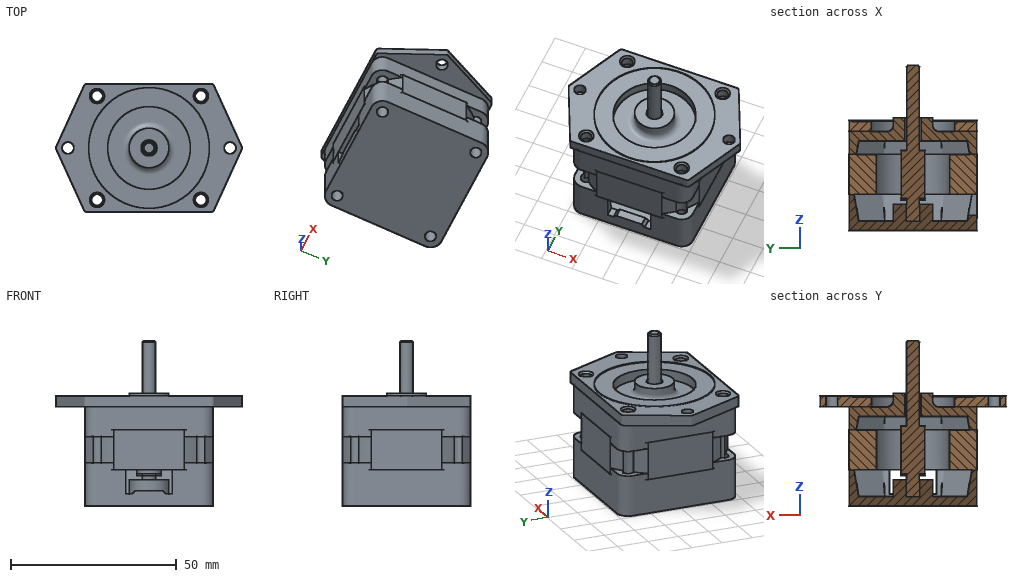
import cadquery as cq
import math

body_width = 38.8
half_width = body_width / 2
corner_radius = 3.65
hole_spacing = 31.35
screw_hole_diameter = 3.4

rear_housing_top = 13.05
front_housing_bottom = 21.05
stator_bottom = 11.0
stator_top = 23.0
front_housing_top = 30.0
plate_top = 33.3
front_boss_top = 34.15
shaft_top = 50.0

plate_length = 56.3
plate_corner_radius = 1.0
plate_recess_diameter = 36.5
plate_recess_depth = 0.3
plate_bore_diameter = 25.0
plate_side_hole_diameter = 3.5
plate_side_hole_spacing = 49.0
countersink_diameter = 4.5
countersink_angle = 90

wall_thickness = 3.0
cavity_width = 32.75
cavity_draft = 10
cavity_chamfer = 7.9
boss_diameter = 12.0
rear_boss_top = 8.05
cove_radius = 2.0
shaft_clearance_diameter = 4.85

window_width = 14.2
window_bottom = 3.7
ledge_top = 4.7
ledge_width = 8.35
ledge_base_width = ledge_width + 2 * (ledge_top - window_bottom)

stator_diameter = 44.3
stator_bore_diameter = 22.0
shaft_diameter = 4.0
shaft_tip_chamfer = 0.45
hub_diameter = 7.3
spacer_bottom = 9.25
spacer_thickness = 0.5
hub_bottom = spacer_bottom + spacer_thickness
hub_top = stator_bottom + stator_top - hub_bottom


def cylinder(diameter, bottom, top):
    return cq.Workplane("XY").workplane(offset=bottom).circle(diameter / 2).extrude(top - bottom)


def housing_block(bottom, top):
    """Square block with rounded vertical corners."""
    block = cq.Workplane("XY").workplane(offset=bottom).rect(body_width, body_width).extrude(top - bottom)
    return block.edges("|Z").fillet(corner_radius)


def screw_holes(bottom, top):
    """Cutting cylinders for the four corner screw holes."""
    centres = cq.Workplane("XY").workplane(offset=bottom).rect(hole_spacing, hole_spacing, forConstruction=True)
    return centres.vertices().circle(screw_hole_diameter / 2).extrude(top - bottom)


def housing_cavity(floor, mouth):
    """Square cavity with cut corners, widening from its floor to its mouth."""
    outline = cq.Sketch().rect(cavity_width, cavity_width).vertices().chamfer(cavity_chamfer)
    depth = abs(mouth - floor)
    cavity = cq.Workplane("XY").placeSketch(outline).extrude(depth, taper=-cavity_draft)
    if mouth < floor:
        cavity = cavity.mirror("XY")
    return cavity.translate((0, 0, floor))


def plate_tip_reach():
    """Distance from the axis to a sharp plate tip whose rounded end reaches half the plate length."""
    arc_centre = plate_length / 2 - plate_corner_radius
    run = arc_centre - half_width
    edge_angle = math.atan2(run, half_width) + math.asin(plate_corner_radius / math.hypot(run, half_width))
    return arc_centre + plate_corner_radius / math.cos(edge_angle)


def make_plate():
    """Six-sided mounting plate with a stepped centre bore and six holes."""
    tip = plate_tip_reach()
    outline = [
        (half_width, half_width),
        (-half_width, half_width),
        (-tip, 0),
        (-half_width, -half_width),
        (half_width, -half_width),
        (tip, 0),
    ]
    thickness = plate_top - front_housing_top
    plate = cq.Workplane("XY").workplane(offset=front_housing_top).polyline(outline).close().extrude(thickness)
    plate = plate.edges("|Z").fillet(plate_corner_radius)
    plate = plate.cut(cylinder(plate_bore_diameter, front_housing_top, plate_top))
    plate = plate.cut(cylinder(plate_recess_diameter, plate_top - plate_recess_depth, plate_top))
    top_plane = cq.Workplane("XY").workplane(offset=plate_top)
    plate = plate.copyWorkplane(top_plane).rect(hole_spacing, hole_spacing, forConstruction=True).vertices()
    plate = plate.cskHole(screw_hole_diameter, countersink_diameter, countersink_angle)
    plate = plate.copyWorkplane(top_plane).rarray(plate_side_hole_spacing, 0.55, 2, 1)
    return plate.hole(plate_side_hole_diameter)


def make_front_boss():
    """Shaft boss that rises from the front face through a concave cove."""
    boss_radius = boss_diameter / 2
    cove_outer_radius = boss_radius + cove_radius
    cove_top = front_housing_top + cove_radius
    arc_reach = cove_radius * (1 - math.sqrt(0.5))
    cove_middle = (boss_radius + arc_reach, front_housing_top + arc_reach)
    profile = (
        cq.Workplane("XZ")
        .moveTo(0, front_housing_top)
        .lineTo(cove_outer_radius, front_housing_top)
        .threePointArc(cove_middle, (boss_radius, cove_top))
        .lineTo(boss_radius, front_boss_top)
        .lineTo(0, front_boss_top)
        .close()
    )
    return profile.revolve(360, (0, 0, 0), (0, 1, 0))


def make_front_housing():
    housing = housing_block(front_housing_bottom, front_housing_top).union(make_front_boss())
    housing = housing.cut(cylinder(stator_diameter, front_housing_bottom, stator_top))
    housing = housing.cut(housing_cavity(front_housing_top - wall_thickness, stator_top))
    housing = housing.cut(cylinder(shaft_clearance_diameter, front_housing_bottom, front_boss_top))
    return housing.cut(screw_holes(front_housing_bottom, front_housing_top))


def make_connector_window():
    """Window cutter through the -Y wall, with a raised ledge left in its sill."""
    outline = [
        (-window_width / 2, stator_bottom),
        (-window_width / 2, window_bottom),
        (-ledge_base_width / 2, window_bottom),
        (-ledge_width / 2, ledge_top),
        (ledge_width / 2, ledge_top),
        (ledge_base_width / 2, window_bottom),
        (window_width / 2, window_bottom),
        (window_width / 2, stator_bottom),
    ]
    wall_depth = half_width - cavity_width / 2
    return cq.Workplane("XZ", origin=(0, -half_width, 0)).polyline(outline).close().extrude(-wall_depth)


def make_rear_housing():
    housing = housing_block(0, rear_housing_top)
    housing = housing.cut(cylinder(stator_diameter, stator_bottom, rear_housing_top))
    housing = housing.cut(housing_cavity(wall_thickness, stator_bottom))
    housing = housing.cut(make_connector_window())
    housing = housing.union(cylinder(boss_diameter, wall_thickness, rear_boss_top))
    housing = housing.cut(cylinder(shaft_diameter, wall_thickness, rear_boss_top))
    return housing.cut(screw_holes(0, rear_housing_top))


def make_stator():
    """Round stack trimmed flat by the four sides, grooved at the corners for the screws."""
    height = stator_top - stator_bottom
    sides = cq.Workplane("XY").workplane(offset=stator_bottom).rect(body_width, body_width).extrude(height)
    stator = cylinder(stator_diameter, stator_bottom, stator_top).intersect(sides)
    stator = stator.cut(cylinder(stator_bore_diameter, stator_bottom, stator_top))
    return stator.cut(screw_holes(stator_bottom, stator_top))


def make_shaft():
    """Output shaft with a thicker hub inside the stator."""
    shaft = cylinder(shaft_diameter, wall_thickness, shaft_top).faces(">Z").chamfer(shaft_tip_chamfer)
    hub = cylinder(hub_diameter, hub_bottom, hub_top)
    return shaft.union(hub)


def make_spacer():
    """Ring on the shaft against the rear end of the hub."""
    spacer = cylinder(hub_diameter, spacer_bottom, hub_bottom)
    return spacer.cut(cylinder(shaft_diameter, spacer_bottom, hub_bottom))


plate = make_plate()
front_housing = make_front_housing()
rear_housing = make_rear_housing()
stator = make_stator()
shaft = make_shaft()
spacer = make_spacer()

result = cq.Compound.makeCompound([
    plate.val(),
    front_housing.val(),
    rear_housing.val(),
    stator.val(),
    shaft.val(),
    spacer.val(),
])